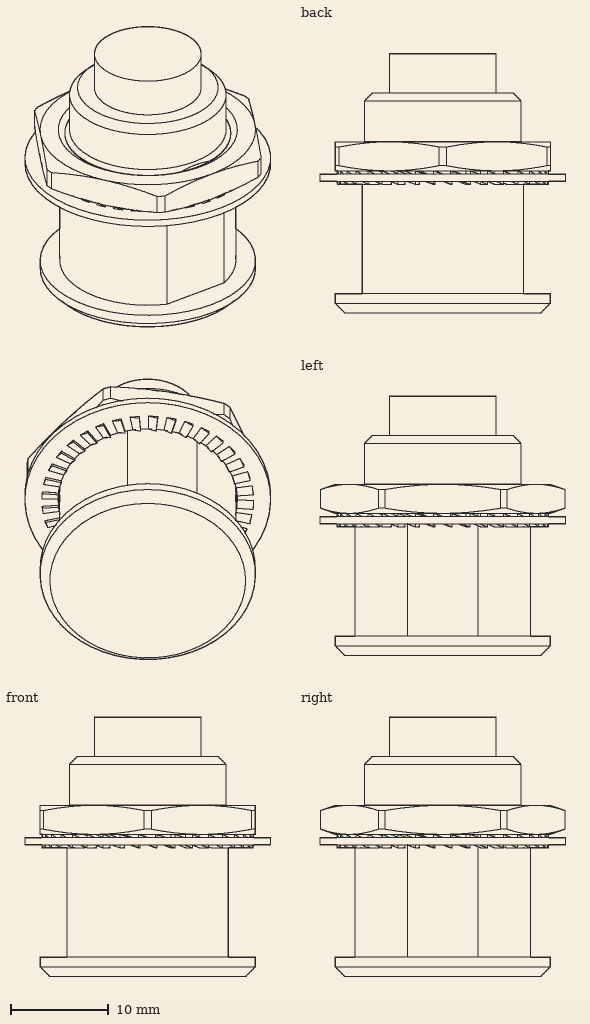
import cadquery as cq
import math

TOTAL_HEIGHT = 26.5
FLANGE_TOP = 2.0
NECK_BOTTOM = 17.52
NECK_TOP = 22.5
WASHER_BOTTOM = 13.45
WASHER_TOP = 14.2
NUT_BOTTOM = 14.52
NUT_HEIGHT = 2.97
NUT_TOP = NUT_BOTTOM + NUT_HEIGHT

FLANGE_DIAMETER = 22.0
FLANGE_CHAMFER = 1.0
BARREL_DIAMETER = 18.0
BARREL_ACROSS_FLATS = 16.48
NECK_DIAMETER = 16.0
NECK_CHAMFER = 0.82
POST_DIAMETER = 10.92

NUT_ACROSS_FLATS = 22.0
NUT_CORNER_DIAMETER = 24.95
NUT_CHAMFER_HEIGHT = 0.53
THREAD_DIAMETER = 16.95
NUT_COUNTERSINK_DIAMETER = 18.28
NUT_COUNTERSINK_ANGLE = 120.0

WASHER_DIAMETER = 25.1
WASHER_BORE = 18.28
TEETH_DIAMETER = 21.62
TOOTH_COUNT = 36
TOOTH_PITCH = 360.0 / TOOTH_COUNT
TOOTH_HEIGHT = NUT_BOTTOM - WASHER_TOP


def cylinder(diameter, bottom, top):
    """Upright cylinder on the Z axis between two heights."""
    return cq.Workplane("XY").workplane(offset=bottom).circle(diameter / 2).extrude(top - bottom)


def make_housing():
    """Flanged barrel with two flats, a threaded stretch in the nut, a neck and a post."""
    flange = cylinder(FLANGE_DIAMETER, 0, FLANGE_TOP).faces("<Z").chamfer(FLANGE_CHAMFER)

    shoulder = (THREAD_DIAMETER - NECK_DIAMETER) / 2
    barrel = cylinder(BARREL_DIAMETER, FLANGE_TOP, NUT_BOTTOM)
    thread = cylinder(THREAD_DIAMETER, NUT_BOTTOM, NECK_BOTTOM).faces(">Z").chamfer(shoulder)
    flats = (
        cq.Workplane("XY")
        .workplane(offset=FLANGE_TOP)
        .rect(BARREL_ACROSS_FLATS, BARREL_DIAMETER)
        .extrude(NECK_BOTTOM - FLANGE_TOP)
    )
    flatted_barrel = barrel.union(thread).intersect(flats)

    neck = cylinder(NECK_DIAMETER, NECK_BOTTOM, NECK_TOP).faces(">Z").chamfer(NECK_CHAMFER)
    post = cylinder(POST_DIAMETER, NECK_TOP, TOTAL_HEIGHT)
    return flange.union(flatted_barrel).union(neck).union(post)


def make_nut():
    """Hexagon with corners rounded off and both ends chamfered; flats face +X and -X."""
    hexagon = (
        cq.Workplane("XY")
        .workplane(offset=NUT_BOTTOM)
        .polygon(6, NUT_ACROSS_FLATS, circumscribed=True)
        .extrude(NUT_HEIGHT)
    )
    chamfer_width = (NUT_CORNER_DIAMETER - NUT_ACROSS_FLATS) / 2
    corner_limit = (
        cylinder(NUT_CORNER_DIAMETER, NUT_BOTTOM, NUT_TOP)
        .faces(">Z or <Z")
        .chamfer(NUT_CHAMFER_HEIGHT, chamfer_width)
    )
    return (
        hexagon.intersect(corner_limit)
        .faces(">Z")
        .workplane(origin=(0, 0, NUT_TOP))
        .cskHole(THREAD_DIAMETER, NUT_COUNTERSINK_DIAMETER, NUT_COUNTERSINK_ANGLE)
    )


def tooth_section(radius, face, ramp_angle, tip_angle, tip_height):
    """Triangle at one radius: a ramp from the washer face to the tip, then an upright flank."""
    corners = [(ramp_angle, face), (tip_angle, face), (tip_angle, face + tip_height)]
    points = [
        (radius * math.cos(math.radians(angle)), radius * math.sin(math.radians(angle)), height)
        for angle, height in corners
    ]
    return cq.Wire.makePolygon([cq.Vector(*point) for point in points], close=True)


def make_tooth(face, ramp_angle, tip_angle, tip_height):
    """Sawtooth whose edges all run radially from the bore out to the teeth diameter."""
    sections = [
        tooth_section(diameter / 2, face, ramp_angle, tip_angle, tip_height)
        for diameter in (WASHER_BORE, TEETH_DIAMETER)
    ]
    return cq.Solid.makeLoft(sections, True)


def make_washer():
    """Flat ring with a crown of sawteeth on each side; upper and lower flanks line up."""
    ring = cylinder(WASHER_DIAMETER, WASHER_BOTTOM, WASHER_TOP).faces(">Z").workplane().hole(WASHER_BORE)
    teeth = []
    for index in range(TOOTH_COUNT):
        flank = (index + 0.5) * TOOTH_PITCH
        lower_ramp = flank - TOOTH_PITCH / 2
        upper_ramp = flank + TOOTH_PITCH / 2
        teeth.append(make_tooth(WASHER_BOTTOM, lower_ramp, flank, -TOOTH_HEIGHT))
        teeth.append(make_tooth(WASHER_TOP, upper_ramp, flank, TOOTH_HEIGHT))
    return cq.Workplane(ring.val().fuse(*teeth))


housing = make_housing()
nut = make_nut()
washer = make_washer()

result = cq.Compound.makeCompound([body.solids().val() for body in (housing, nut, washer)])